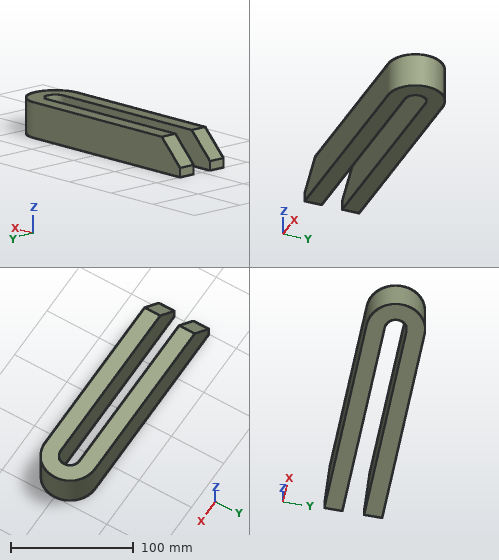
import cadquery as cq

length = 200.0
width = 48.0
height = 30.0

slot_width = 18.0
tip_height = 8.0
slope_rise = height - tip_height
slope_run = slope_rise

outer_radius = width / 2
slot_radius = slot_width / 2
bend_center_x = length - outer_radius


def round_ended_bar(radius):
    """Full-height bar from x = 0 to the bend centre, closed by a half-round end."""
    return (
        cq.Workplane("XY")
        .moveTo(0, -radius)
        .lineTo(bend_center_x, -radius)
        .threePointArc((bend_center_x + radius, 0), (bend_center_x, radius))
        .lineTo(0, radius)
        .close()
        .extrude(height)
    )


def tip_wedge():
    """Wedge above the sloped tips, spanning both legs."""
    return (
        cq.Workplane("XZ")
        .moveTo(0, tip_height)
        .lineTo(slope_run, height)
        .lineTo(0, height)
        .close()
        .extrude(outer_radius, both=True)
    )


result = round_ended_bar(outer_radius).cut(round_ended_bar(slot_radius)).cut(tip_wedge())